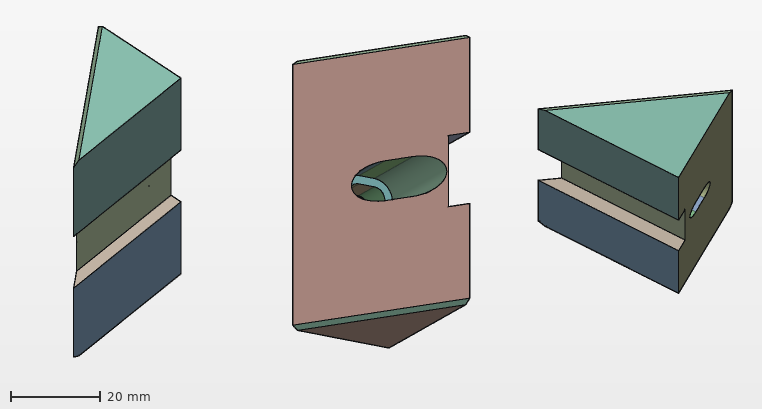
import cadquery as cq

width = 25.0
depth = 36.0
height = 64.0
edge_chamfer = 1.0

notch_width = 3.0
notch_height = 16.9

slot_inset = 10.0
slot_straight = 4.0
through_slot_height = 5.5
counterbore_height = 9.5
floor_thickness = 7.2

mid_height = height / 2
slot_x = width - slot_inset


def make_body():
    """Triangular prism with the two end edges of its sloping face chamfered."""
    outline = [(0, depth), (width, 0), (width, depth)]
    prism = cq.Workplane("XY").polyline(outline).close().extrude(height)
    sloping_face = prism.faces("not(|X or |Y or |Z)")
    return sloping_face.edges("not |Z").chamfer(edge_chamfer)


def make_slot(slot_height, back_y):
    """Round-ended slot cutter from the front (y = 0) to back_y."""
    return (
        cq.Workplane("XZ")
        .center(slot_x, mid_height)
        .slot2D(slot_straight + slot_height, slot_height)
        .extrude(-back_y)
    )


def make_notch():
    """Block removed from the right side through the full depth."""
    return (
        cq.Workplane("XY")
        .box(notch_width, depth, notch_height, centered=(False, False, True))
        .translate((width - notch_width, 0, mid_height))
    )


result = (
    make_body()
    .cut(make_notch())
    .cut(make_slot(through_slot_height, depth))
    .cut(make_slot(counterbore_height, depth - floor_thickness))
)